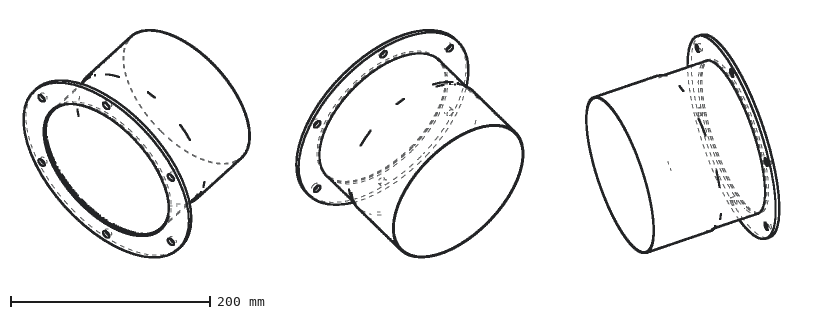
import cadquery as cq

flange_diameter = 215.0
flange_bore_diameter = 162.5
flange_thickness = 4.0
bolt_circle_diameter = 194.0
bolt_hole_diameter = 8.0
bolt_hole_count = 6
first_bolt_angle = 90.0

total_length = 127.0
narrow_outer_diameter = 162.1
socket_outer_diameter = 165.1
wall = 1.0
spigot_recess = 2.0
cone_start = 52.0
cone_end = 56.8
inside_bend_radius = 1.0

narrow_outer_radius = narrow_outer_diameter / 2
narrow_inner_radius = narrow_outer_radius - wall
socket_outer_radius = socket_outer_diameter / 2
socket_inner_radius = socket_outer_radius - wall


def make_flange():
    """Flat ring with its front face at Y = 0 and a bore that clears the spigot."""
    ring = (
        cq.Workplane("XZ")
        .circle(flange_diameter / 2)
        .circle(flange_bore_diameter / 2)
        .extrude(-flange_thickness)
    )
    bolt_holes = (
        cq.Workplane("XZ")
        .polarArray(bolt_circle_diameter / 2, first_bolt_angle, 360, bolt_hole_count)
        .circle(bolt_hole_diameter / 2)
        .extrude(-flange_thickness)
    )
    return ring.cut(bolt_holes)


def bend_edge(radius, y):
    """Select the circular edge of the given radius in the plane at height y along the axis."""
    margin = wall / 4
    reach = radius + margin
    around = cq.selectors.BoxSelector(
        (-reach, y - margin, -reach), (reach, y + margin, reach), boundingbox=True
    )
    inside = radius - margin
    smaller = cq.selectors.BoxSelector(
        (-inside, y - margin, -inside), (inside, y + margin, inside), boundingbox=True
    )
    return around - smaller


def round_bends(tube):
    """Round both ends of the cone, keeping the wall thickness through each bend."""
    outside_bend_radius = inside_bend_radius + wall
    bends = [
        (narrow_outer_radius, cone_start, inside_bend_radius),
        (narrow_inner_radius, cone_start, outside_bend_radius),
        (socket_inner_radius, cone_end, inside_bend_radius),
        (socket_outer_radius, cone_end, outside_bend_radius),
    ]
    for edge_radius, y, bend_radius in bends:
        tube = tube.edges(bend_edge(edge_radius, y)).fillet(bend_radius)
    return tube


def make_spigot():
    """Stepped sheet tube revolved about the Y axis, set back from the flange front."""
    wall_profile = [
        (narrow_inner_radius, spigot_recess),
        (narrow_outer_radius, spigot_recess),
        (narrow_outer_radius, cone_start),
        (socket_outer_radius, cone_end),
        (socket_outer_radius, total_length),
        (socket_inner_radius, total_length),
        (socket_inner_radius, cone_end),
        (narrow_inner_radius, cone_start),
    ]
    tube = cq.Workplane("XY").polyline(wall_profile).close().revolve(360, (0, 0), (0, 1))
    return round_bends(tube)


flange = make_flange()
spigot = make_spigot()

result = cq.Compound.makeCompound([flange.val(), spigot.val()])